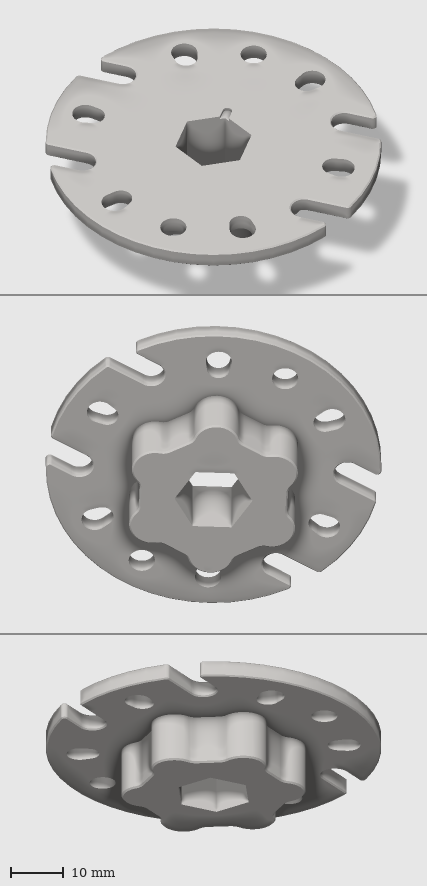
import cadquery as cq
import math

plate_radius = 31.75
plate_thickness = 3.2
plate_chamfer = 0.25
plate_corner_radius = 0.75
total_height = 12.7

outer_bolt_radius = 25.4
inner_bolt_radius = 23.8
large_hole_radius = 2.5
small_hole_radius = 2.15
slot_radius = 2.55
round_hole_angles = (90, 270)
double_hole_angles = (0, 60, 120, 180, 240, 300)
slot_angles = (30, 150, 210, 330)

lobe_count = 6
lobe_tip_radius = 17.45
lobe_radius = 4.4
lobe_centre_radius = lobe_tip_radius - lobe_radius
valley_distance = 14.05
valley_fillet = 2.35
boss_chamfer = 0.3

hex_sides = 6
hex_across_flats = 12.75
hex_corner_radius = hex_across_flats / 2 / math.cos(math.pi / hex_sides)
pointer_width = 1.8
pointer_tip = 9.65
pointer_depth = 0.65


def polar(radius, angle):
    """Point at a distance from the axis and an angle in degrees from +X."""
    return (radius * math.cos(math.radians(angle)), radius * math.sin(math.radians(angle)))


def make_plate():
    """Disc with open-ended slots, rounded slot mouths and chamfered rims."""
    disc = cq.Workplane("XY").circle(plate_radius).extrude(plate_thickness)
    for angle in slot_angles:
        end_x, end_y = polar(outer_bolt_radius, angle)
        mouth_x = math.copysign(plate_radius, end_x)
        slot_end = cq.Workplane("XY").center(end_x, end_y).circle(slot_radius).extrude(plate_thickness)
        slot_run = (
            cq.Workplane("XY")
            .center((end_x + mouth_x) / 2, end_y)
            .rect(abs(mouth_x - end_x), 2 * slot_radius)
            .extrude(plate_thickness)
        )
        disc = disc.cut(slot_end.union(slot_run))
    mouth_corners = disc.edges("|Z").filter(is_slot_mouth)
    rounded = mouth_corners.fillet(plate_corner_radius)
    return rounded.faces("<Z or >Z").edges().chamfer(plate_chamfer)


def is_slot_mouth(edge):
    """True for an upright edge on the rim at either side of a slot."""
    centre = edge.Center()
    on_rim = math.hypot(centre.x, centre.y) > plate_radius - plate_corner_radius
    return on_rim and abs(centre.y) > slot_radius


def make_boss():
    """Six round lobes joined by short flats, with hollow fillets between flat and lobe."""
    half_pitch = 180 / lobe_count

    lobe_side, lobe_out = polar(lobe_centre_radius, 90 - half_pitch)
    fillet_out = valley_distance + valley_fillet
    centre_gap = lobe_radius + valley_fillet
    flat_half = lobe_side - math.sqrt(centre_gap**2 - (fillet_out - lobe_out) ** 2)

    sweep = math.degrees(math.asin((lobe_side - flat_half) / centre_gap))

    def on_fillet(turn, side, valley_angle):
        """Point on a fillet, turned from the flat towards the lobe; side is 1 (clockwise) or -1."""
        dx, dy = polar(valley_fillet, turn - 90)
        across = side * (flat_half + dx)
        outward = fillet_out + dy
        return polar(math.hypot(across, outward), valley_angle - math.degrees(math.atan2(across, outward)))

    first_valley = -half_pitch
    outline = cq.Workplane("XY").moveTo(*on_fillet(0, 1, first_valley))
    for lobe in range(lobe_count):
        tip_angle = lobe * 2 * half_pitch
        before = tip_angle - half_pitch
        after = tip_angle + half_pitch
        outline = (
            outline.lineTo(*on_fillet(0, -1, before))
            .threePointArc(on_fillet(sweep / 2, -1, before), on_fillet(sweep, -1, before))
            .threePointArc(polar(lobe_tip_radius, tip_angle), on_fillet(sweep, 1, after))
            .threePointArc(on_fillet(sweep / 2, 1, after), on_fillet(0, 1, after))
        )
    boss = outline.close().extrude(plate_thickness - total_height)
    return boss.faces("<Z").edges().chamfer(boss_chamfer)


def double_hole(angle):
    """Large and small hole on neighbouring bolt circles, merged by their common tangents."""
    tangent_angle = math.degrees(
        math.acos((large_hole_radius - small_hole_radius) / (outer_bolt_radius - inner_bolt_radius))
    )

    def tangent_point(centre_radius, hole_radius, side):
        dx, dy = polar(hole_radius, 180 - side * tangent_angle)
        return (centre_radius + dx, dy)

    return (
        cq.Workplane("XY")
        .moveTo(*tangent_point(outer_bolt_radius, large_hole_radius, -1))
        .threePointArc(
            (outer_bolt_radius + large_hole_radius, 0),
            tangent_point(outer_bolt_radius, large_hole_radius, 1),
        )
        .lineTo(*tangent_point(inner_bolt_radius, small_hole_radius, 1))
        .threePointArc(
            (inner_bolt_radius - small_hole_radius, 0),
            tangent_point(inner_bolt_radius, small_hole_radius, -1),
        )
        .close()
        .extrude(plate_thickness)
        .rotate((0, 0, 0), (0, 0, 1), angle)
    )


def make_bore():
    """Hexagonal prism with corners on the Y axis."""
    corners = [polar(hex_corner_radius, 90 + 360 / hex_sides * corner) for corner in range(hex_sides)]
    bottom = plate_thickness - total_height
    return cq.Workplane("XY").workplane(offset=bottom).polyline(corners).close().extrude(total_height)


def make_pointer():
    """Shallow round-ended groove in the top face, running from the bore towards +Y."""
    half_width = pointer_width / 2
    return (
        cq.Workplane("XY")
        .workplane(offset=plate_thickness - pointer_depth)
        .moveTo(-half_width, 0)
        .lineTo(half_width, 0)
        .lineTo(half_width, pointer_tip - half_width)
        .threePointArc((0, pointer_tip), (-half_width, pointer_tip - half_width))
        .close()
        .extrude(pointer_depth)
    )


result = make_plate().union(make_boss())
round_holes = (
    cq.Workplane("XY")
    .pushPoints([polar(outer_bolt_radius, angle) for angle in round_hole_angles])
    .circle(large_hole_radius)
    .extrude(plate_thickness)
)
result = result.cut(round_holes)
for hole_angle in double_hole_angles:
    result = result.cut(double_hole(hole_angle))
result = result.cut(make_bore()).cut(make_pointer())